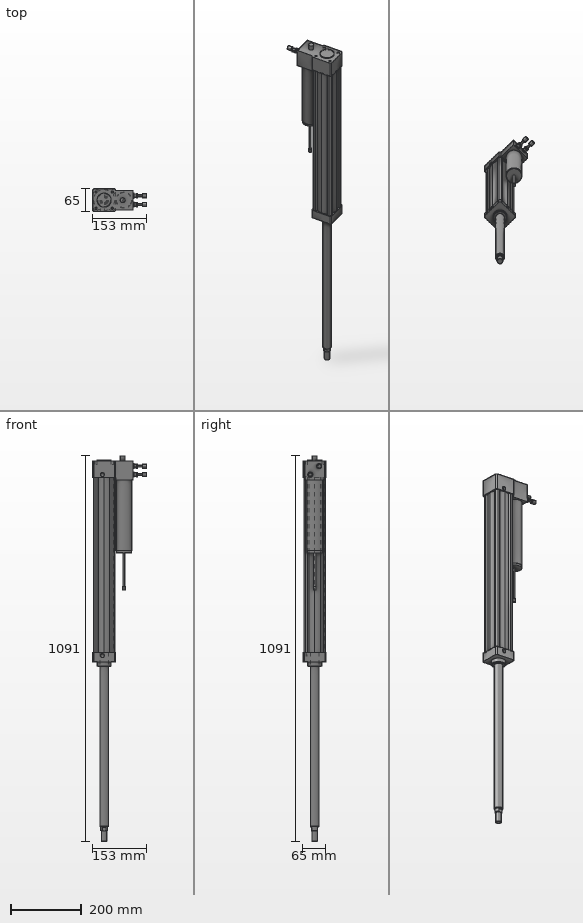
import cadquery as cq
import math


tip_z = 0
neck_bottom_z = 29
rod_end_z = 41.5
gland_bottom_z = 495
cap_bottom_z = 508
cap_top_z = 534.5
block_bottom_z = 1023.5
head_bottom_z = 1030
head_top_z = 1077
shaft_top_z = 1091

square_width = 65
corner_diameter = 87
cover_diameter = 40
cover_height = 3
screw_hole_diameter = 6
screw_hole_depth = 10
screw_pitch = 46

port_diameter = 11
port_depth = 8
port_tip_angle = 118
port_x = -5
port_edge_gap = 8.5

block_end_x = 82
block_width = 56
shaft_x = 52.5
shaft_diameter = 14
motor_x = 56
motor_diameter = 45
motor_bottom_z = 823
lid_diameter = 43
lid_height = 6
cable_diameter = 6
cable_bottom_z = 711
cable_tip_length = 10
cable_tip_diameter = 8

connector_offset_y = 12.5
connector_offset_z = 12
connector_sections = [
    (14.5, 3),
    (11, 7),
    (13, 3),
    (6, 13.5),
    (12, 12),
]

tube_width = 61
tube_chamfer = 5
groove_outer_offset = 20
ridge_angle = 15

gland_diameter = 40
gland_chamfer = 2
rod_diameter = 25
rod_chamfer = 1.5
neck_diameter = 20
neck_chamfer = 2
neck_flats = 17
flats_height = 10
tip_diameter = 16
tip_chamfer = 1


def cylinder(diameter, bottom, top, x=0):
    """Upright cylinder between two levels."""
    return cq.Workplane("XY", origin=(x, 0, bottom)).circle(diameter / 2).extrude(top - bottom)


def square_block(bottom, top):
    """Square block with its corners turned to a cylinder about the rod axis."""
    block = cq.Workplane("XY", origin=(0, 0, bottom)).rect(square_width, square_width)
    return block.extrude(top - bottom).intersect(cylinder(corner_diameter, bottom, top))


def drilled_port(z):
    """Drill shape of a port that enters through the -Y face."""
    radius = port_diameter / 2
    tip_length = radius / math.tan(math.radians(port_tip_angle / 2))
    face_y = -square_width / 2
    floor_y = face_y + port_depth
    profile = [(0, face_y), (radius, face_y), (radius, floor_y), (0, floor_y + tip_length)]
    drill = cq.Workplane("XY").polyline(profile).close().revolve(360, (0, 0, 0), (0, 1, 0))
    return drill.translate((port_x, 0, z))


def connector(y, z):
    """Stepped connector that stands on the end face of the motor block."""
    x = block_end_x
    body = None
    for diameter, length in connector_sections:
        section = cq.Workplane("YZ", origin=(x, y, z)).circle(diameter / 2).extrude(length)
        body = section if body is None else body.union(section)
        x += length
    return body


def make_motor():
    """Motor with its lower lid and the cable that hangs from it."""
    lid_bottom = motor_bottom_z - lid_height
    cable_tip_top = cable_bottom_z + cable_tip_length
    motor = cylinder(motor_diameter, motor_bottom_z, block_bottom_z, motor_x)
    motor = motor.union(cylinder(lid_diameter, lid_bottom, motor_bottom_z, motor_x))
    motor = motor.union(cylinder(cable_diameter, cable_tip_top, lid_bottom, motor_x))
    return motor.union(cylinder(cable_tip_diameter, cable_bottom_z, cable_tip_top, motor_x))


def make_head():
    """Square head and motor block in one, with motor, hand shaft and connectors."""
    block = cq.Workplane("XY", origin=(block_end_x / 2, 0, block_bottom_z))
    block = block.rect(block_end_x, block_width).extrude(head_top_z - block_bottom_z)
    below_square = cq.Workplane("XY", origin=(0, 0, block_bottom_z)).rect(square_width, square_width)
    block = block.cut(below_square.extrude(head_bottom_z - block_bottom_z))
    head = square_block(head_bottom_z, head_top_z).union(block)
    head = head.union(cylinder(cover_diameter, head_top_z, head_top_z + cover_height))
    head = head.union(cylinder(shaft_diameter, head_top_z, shaft_top_z, shaft_x))
    head = head.union(make_motor())
    middle_z = (block_bottom_z + head_top_z) / 2
    for side in (1, -1):
        head = head.union(connector(side * connector_offset_y, middle_z + side * connector_offset_z))
    holes = cq.Workplane("XY", origin=(0, 0, head_top_z)).rect(screw_pitch, screw_pitch, forConstruction=True)
    holes = holes.vertices().circle(screw_hole_diameter / 2).extrude(-screw_hole_depth)
    return head.cut(holes).cut(drilled_port(head_bottom_z + port_edge_gap))


def make_tube():
    """Extruded tube with a shallow ridge between two V grooves along each side."""
    half = tube_width / 2
    ridge_slope = math.tan(math.radians(ridge_angle))
    valley_offset = groove_outer_offset / (1 + ridge_slope)
    depth = valley_offset * ridge_slope
    side = [
        (-half + tube_chamfer, -half),
        (-groove_outer_offset, -half),
        (-valley_offset, -half + depth),
        (0, -half),
        (valley_offset, -half + depth),
        (groove_outer_offset, -half),
        (half - tube_chamfer, -half),
    ]
    outline = []
    for turn in range(4):
        c = math.cos(turn * math.pi / 2)
        s = math.sin(turn * math.pi / 2)
        outline += [(c * x - s * y, s * x + c * y) for x, y in side]
    tube = cq.Workplane("XY", origin=(0, 0, cap_top_z)).polyline(outline).close()
    return tube.extrude(head_bottom_z - cap_top_z)


def make_cap():
    """Lower end cap with the rod gland and the rod bore."""
    gland = cylinder(gland_diameter, gland_bottom_z, cap_bottom_z).faces("<Z").chamfer(gland_chamfer)
    cap = square_block(cap_bottom_z, cap_top_z).union(gland)
    cap = cap.cut(cylinder(rod_diameter, gland_bottom_z, cap_top_z))
    return cap.cut(drilled_port(cap_top_z - port_edge_gap))


def make_rod():
    """Piston rod that fills the cap bore, with a flatted neck and a plain round tip."""
    rod = cylinder(rod_diameter, rod_end_z, cap_top_z).faces("<Z").chamfer(rod_chamfer)
    neck = cylinder(neck_diameter, neck_bottom_z, rod_end_z).faces("<Z").chamfer(neck_chamfer)
    for side in (1, -1):
        cutter = cq.Workplane("XY").box(neck_diameter, neck_diameter, flats_height)
        offset = side * (neck_flats + neck_diameter) / 2
        neck = neck.cut(cutter.translate((0, offset, neck_bottom_z + flats_height / 2)))
    tip = cylinder(tip_diameter, tip_z, neck_bottom_z).faces("<Z").chamfer(tip_chamfer)
    return rod.union(neck).union(tip)


head = make_head()
tube = make_tube()
cap = make_cap()
rod = make_rod()

result = cq.Compound.makeCompound([head.val(), tube.val(), cap.val(), rod.val()])